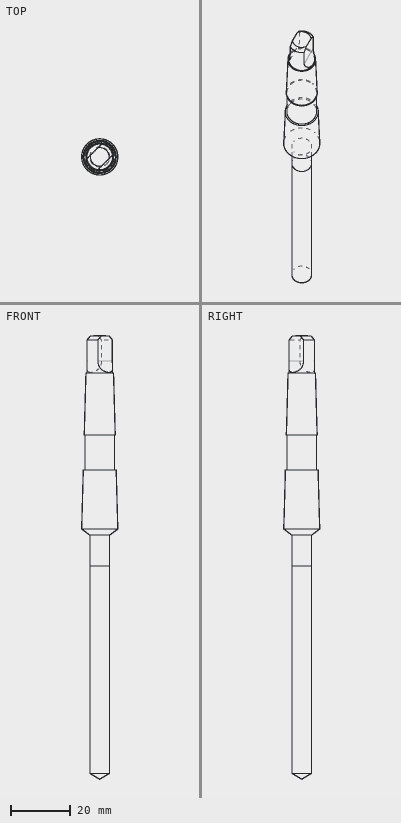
import cadquery as cq
import math

total_length = 150.0
tang_start = 137.2
upper_taper_start = 116.4
lower_taper_end = 104.5
lower_taper_start = 84.6
neck_start = 82.5
flute_end = 72.2

shank_diameter = 12.3
relief_diameter = 10.0
tang_diameter = 8.7
drill_diameter = 6.8
taper_ratio = 0.055

tang_thickness = 5.2
tang_end_rise = 0.2
tang_chamfer_height = 1.4
tang_chamfer_width = 1.2
flat_runout_start = 141.3
runout_radius = 5.0
tang_angle = 45.0

point_angle = 118.0


def revolve_profile(points):
    """Revolve a closed (radius, z) profile about the Z axis."""
    return cq.Workplane("XZ").polyline(points).close().revolve(360, (0, 0), (0, 1))


def make_tang_cutter():
    """Cutter for one flat, with a round run-out toward the taper."""
    half_thickness = tang_thickness / 2
    tang_radius = tang_diameter / 2
    runout_angle = math.acos(1 - (tang_radius - half_thickness) / runout_radius)

    def runout_point(angle):
        return (
            half_thickness + runout_radius * (1 - math.cos(angle)),
            flat_runout_start - runout_radius * math.sin(angle),
        )

    return (
        cq.Workplane("XZ")
        .moveTo(half_thickness, total_length)
        .lineTo(half_thickness, flat_runout_start)
        .threePointArc(runout_point(runout_angle / 2), runout_point(runout_angle))
        .lineTo(tang_radius, total_length)
        .close()
        .extrude(tang_radius, both=True)
    )


def make_shank():
    """Taper shank with its relief, neck and two-flat driving tang."""
    shank_radius = shank_diameter / 2
    tang_edge = total_length - tang_end_rise

    def taper_radius(z):
        return shank_radius - (z - lower_taper_start) * taper_ratio / 2

    shank = revolve_profile([
        (0, flute_end),
        (drill_diameter / 2, flute_end),
        (drill_diameter / 2, neck_start),
        (shank_radius, lower_taper_start),
        (taper_radius(lower_taper_end), lower_taper_end),
        (relief_diameter / 2, lower_taper_end),
        (relief_diameter / 2, upper_taper_start),
        (taper_radius(upper_taper_start), upper_taper_start),
        (taper_radius(tang_start), tang_start),
        (tang_diameter / 2, tang_start),
        (tang_diameter / 2, tang_edge - tang_chamfer_height),
        (tang_diameter / 2 - tang_chamfer_width, tang_edge),
        (0, total_length),
    ])
    cutter = make_tang_cutter()
    for side_angle in (0, 180):
        shank = shank.cut(cutter.rotate((0, 0, 0), (0, 0, 1), side_angle - tang_angle))
    return shank


def make_drill():
    """Drill with a conical point."""
    drill_radius = drill_diameter / 2
    point_height = drill_radius / math.tan(math.radians(point_angle / 2))
    return revolve_profile([
        (0, 0),
        (drill_radius, point_height),
        (drill_radius, flute_end),
        (0, flute_end),
    ])


shank = make_shank()
drill = make_drill()

result = cq.Compound.makeCompound([shank.val(), drill.val()])